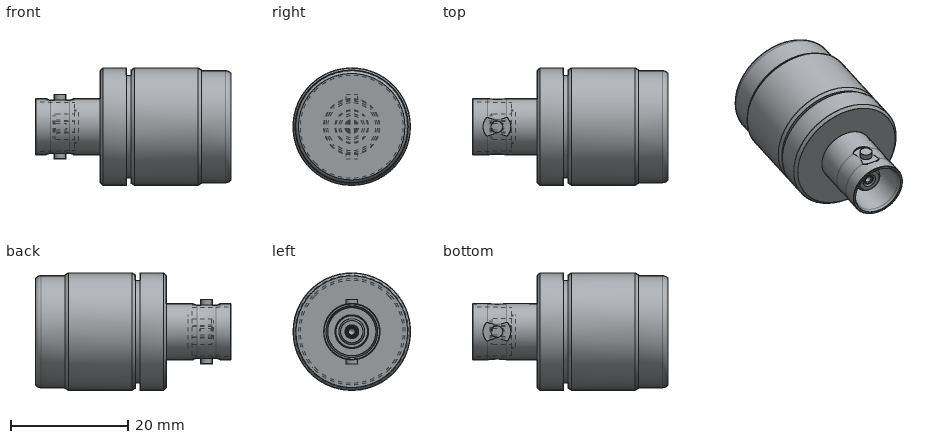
import cadquery as cq
import math


total_length = 33.3
body_radius = 20.0 / 2
flange_start = 11.0
flange_end = 15.5
flange_chamfer = 0.5
neck_radius = 8.75
sleeve_start = 16.3
sleeve_end = 28.3
sleeve_bevel_length = 0.6
sleeve_bevel_height = 0.35
rear_radius = 9.55
rear_round_length = 0.95
rear_round_depth = 0.5

barrel_radius = 4.8
lip_chamfer = 0.05
lug_x = 4.15
waist_half_length = 1.6
waist_depth = 0.1
seat_radius = 2.35
seat_height = 4.53
lug_radius = 1.0
lug_height = 5.5

mouth_radius = 4.4
mouth_depth = 0.5
bore_radius = 4.23
floor_radius = 4.1
bore_depth = 6.65
floor_groove_outer = 2.85
floor_groove_inner = 2.7
floor_groove_depth = 0.65

insulator_radius = 2.2
insulator_front = 3.0
insulator_chamfer = 0.3
insulator_hole_radius = 1.15
insulator_hole_floor_radius = 1.0
contact_radius = 0.85
contact_front = 3.2
countersink_radius = 0.7
countersink_depth = 0.2
contact_hole_radius = 0.55
contact_hole_depth = 2.0
drill_half_angle = math.radians(59)


def cylinder(radius, start, end):
    """Solid cylinder on the X axis between two X positions."""
    return cq.Workplane("YZ", origin=(start, 0, 0)).circle(radius).extrude(end - start)


def revolve_about_axis(profile):
    """Close an XY profile and turn it about the X axis."""
    return profile.close().revolve(360, (0, 0, 0), (1, 0, 0))


def make_outer_body():
    bevel_radius = body_radius - sleeve_bevel_height
    round_radius = (rear_round_length**2 + rear_round_depth**2) / (2 * rear_round_depth)
    round_start = total_length - rear_round_length
    round_mid_angle = math.asin(rear_round_length / round_radius) / 2
    round_mid = (
        round_start + round_radius * math.sin(round_mid_angle),
        rear_radius - round_radius * (1 - math.cos(round_mid_angle)),
    )
    profile = (
        cq.Workplane("XY")
        .moveTo(0, 0)
        .lineTo(0, barrel_radius - lip_chamfer)
        .lineTo(lip_chamfer, barrel_radius)
        .lineTo(lug_x - waist_half_length, barrel_radius)
        .threePointArc(
            (lug_x, barrel_radius - waist_depth),
            (lug_x + waist_half_length, barrel_radius),
        )
        .lineTo(flange_start, barrel_radius)
        .lineTo(flange_start, body_radius - flange_chamfer)
        .lineTo(flange_start + flange_chamfer, body_radius)
        .lineTo(flange_end, body_radius)
        .lineTo(flange_end, neck_radius)
        .lineTo(sleeve_start, neck_radius)
        .lineTo(sleeve_start, bevel_radius)
        .lineTo(sleeve_start + sleeve_bevel_length, body_radius)
        .lineTo(sleeve_end - sleeve_bevel_length, body_radius)
        .lineTo(sleeve_end, bevel_radius)
        .lineTo(sleeve_end, rear_radius)
        .lineTo(round_start, rear_radius)
        .threePointArc(round_mid, (total_length, rear_radius - rear_round_depth))
        .lineTo(total_length, 0)
    )
    return revolve_about_axis(profile)


def add_lugs(body):
    """Cut a flat round seat and stand a bayonet lug on it, above and below."""
    for side in (1, -1):
        seat_plane = cq.Workplane("XY", origin=(lug_x, 0, side * seat_height))
        seat_cut = seat_plane.circle(seat_radius).extrude(side * barrel_radius)
        body = body.cut(seat_cut)
    lug_plane = cq.Workplane("XY", origin=(lug_x, 0, -lug_height))
    return body.union(lug_plane.circle(lug_radius).extrude(2 * lug_height))


def cut_bore(body):
    mouth_profile = (
        cq.Workplane("XY")
        .moveTo(0, 0)
        .lineTo(0, mouth_radius)
        .lineTo(mouth_depth, bore_radius)
        .lineTo(bore_depth, floor_radius)
        .lineTo(bore_depth, 0)
    )
    groove_end = bore_depth + floor_groove_depth
    groove = cylinder(floor_groove_outer, bore_depth, groove_end).cut(
        cylinder(floor_groove_inner, bore_depth, groove_end)
    )
    return body.cut(revolve_about_axis(mouth_profile)).cut(groove)


def make_insulator():
    insulator = cylinder(insulator_radius, insulator_front, bore_depth)
    insulator = insulator.faces("<X").chamfer(insulator_chamfer)
    hole_profile = (
        cq.Workplane("XY")
        .moveTo(insulator_front, 0)
        .lineTo(insulator_front, insulator_hole_radius)
        .lineTo(bore_depth, insulator_hole_floor_radius)
        .lineTo(bore_depth, 0)
    )
    return insulator.cut(revolve_about_axis(hole_profile))


def make_contact():
    contact = cylinder(contact_radius, contact_front, bore_depth)
    hole_end = contact_front + contact_hole_depth
    hole_tip_length = contact_hole_radius / math.tan(drill_half_angle)
    hole_profile = (
        cq.Workplane("XY")
        .moveTo(contact_front, 0)
        .lineTo(contact_front, countersink_radius)
        .lineTo(contact_front + countersink_depth, contact_hole_radius)
        .lineTo(hole_end, contact_hole_radius)
        .lineTo(hole_end + hole_tip_length, 0)
    )
    return contact.cut(revolve_about_axis(hole_profile))


outer_body = cut_bore(add_lugs(make_outer_body()))
result = outer_body.union(make_insulator()).union(make_contact())